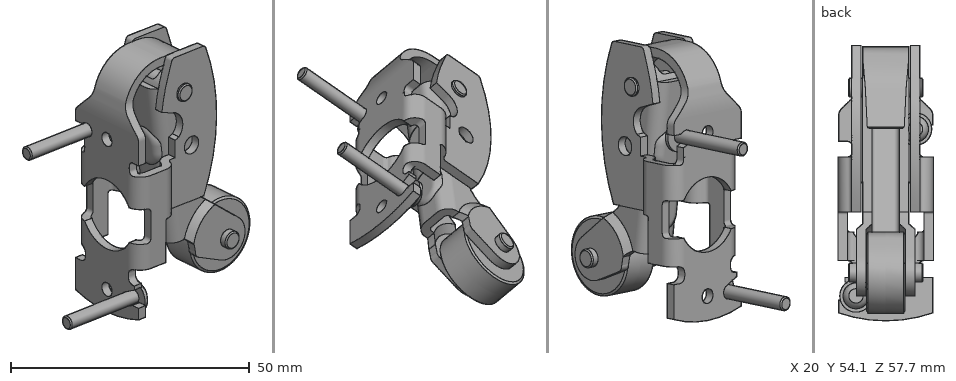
import cadquery as cq
import math

SHEET = 2.0
PIN_D = 4.0
PIN_HALF_LENGTH = 7.85
PIN_CHAMFER = 0.3

PLATE_HALF = 9.85
PLATE_EDGE_Z = 1.7
LOWER_SCREW_Z = 5.25
UPPER_SCREW_Z = 40.2
SCREW_X = 6.25
CENTRE_HOLE_D = 3.1
WINDOW_Z = (LOWER_SCREW_Z + UPPER_SCREW_Z) / 2
WINDOW_D = 16.05
SIDE_WINDOW_HALF = 4.05
SIDE_WINDOW_R = 1.0
SLOT_R = 1.55
SLOT_ANGLE = math.radians(27)
SLOT_LEDGE = 0.85
SLOT_RISE = 4.0
LOWER_SLOT_EDGE = 8.55

WALL_HALF = 20.0 / 2
WALL_FOOT_R = 3.35
WALL_TOP_R = 3.0
WALL_TOP_Y = 7.8
FLANGE_BLEND_R = 1.0
TAB_BOTTOM = 12.65
TAB_TOP = 34.35
FLANGE_BOTTOM = 22.8
LOWER_WALL_Y = 7.55
NECK_LOW = 9.1
NECK_HIGH = 37.6
BEND_LOW = (NECK_LOW + TAB_BOTTOM) / 2
BEND_HIGH = (TAB_TOP + NECK_HIGH) / 2
NECK_HALF_LOW = 6.7
NECK_HALF_HIGH = 7.05
NECK_LOW_R = 1.45
NECK_HIGH_R = 1.0
WALL_CORNER_R = 0.6

CHEEK_INNER = 5.15
CHEEK_OUTER = CHEEK_INNER + SHEET
CHEEK_START_Y = WALL_TOP_Y + math.sqrt(
    (WALL_TOP_R + FLANGE_BLEND_R) ** 2 - (CHEEK_OUTER + FLANGE_BLEND_R - WALL_HALF + WALL_TOP_R) ** 2
)
CHEEK_TOP = 57.7
CHEEK_HOLE_D = 4.05
CHEEK_HOLE = (17.45, 35.8)
CHEEK_CORNER_R = 1.0

STRIP_HALF = 4.85
STRIP_FOOT_Z = 43.0
STRIP_BEND_Z = 44.35
STRIP_LEAN_Z = 48.15
STRIP_ARCH_Z = 49.65
STRIP_TOP_Z = 57.45
STRIP_R = 10.1
STRIP_FLAT = 2.4
STRIP_LEAN = math.asin((STRIP_ARCH_Z - STRIP_TOP_Z + STRIP_R) / STRIP_R)
STRIP_FOOT_R = (STRIP_LEAN_Z - STRIP_BEND_Z) / math.sin(STRIP_LEAN)
STRIP_LEG = 8.1
STRIP_TIP_HALF = 3.85
TAPER_TOP_Z = 55.4
TAPER_MID_Z = 48.8
TAPER_MID_HALF = 4.3
TIP_CORNER_R = 0.6
SHOULDER_R = 2.0
FLARE_BLEND_R = 4.0
FLARE_TOP_Z = 50.45

PIVOT = (15.25, 48.85)
ROLLER = (28.5, 10.1)
LEVER_FOOT = (13.9, 12.5)
LEVER_TILT_DEG = 7.2
LEVER_TILT = math.radians(LEVER_TILT_DEG)
LEVER_LENGTH = 37.75
LEVER_HALF = 4.85
LEVER_BEND_R = 3.0
FORK_OUTER = 6.2
JOGGLE_IN_R = 9.7
JOGGLE_OUT_R = 11.4
ARM_END_R = 4.9
FORK_UPPER_ANGLE = math.radians(53.5)
FORK_LOWER_ANGLE = math.radians(-115.5)
DOME_HALF = 4.0
DOME_STRAIGHT = 2.0
DOME_HEIGHT = 0.6
DOME_ROUND = 1.85
DOME_SPOTS = (9.1, 22.85)
ROLLER_D = 17.0
ROLLER_HALF = 4.01
ROLLER_CHAMFER = 0.3
ROLLER_CHAMFER_DEPTH = 0.5

SHANK_D = 3.0
SHANK_END_Y = -17.1
SHANK_CHAMFER = 0.3
WASHER_D = 6.8
WASHER_T = 0.75
HEAD_BASE_R = 2.7
HEAD_FACE_R = 1.5
HEAD_MID_R = 2.35
HEAD_HEIGHT = 1.5
HEAD_MID_HEIGHT = 0.75


def box(x0, x1, y0, y1, z0, z1):
    return cq.Workplane("XY").box(x1 - x0, y1 - y0, z1 - z0, centered=False).translate((x0, y0, z0))


def polar(centre, radius, angle):
    return (centre[0] + radius * math.cos(angle), centre[1] + radius * math.sin(angle))


def cross_bar(diameter, half_length, chamfer_length, chamfer_depth, centre):
    """Cylinder along X, centred on X = 0, with a chamfer at each end."""
    radius = diameter / 2
    half = (
        cq.Workplane("XY")
        .lineTo(0, radius)
        .lineTo(half_length - chamfer_length, radius)
        .lineTo(half_length, radius - chamfer_depth)
        .lineTo(half_length, 0)
        .close()
        .revolve(360, (0, 0, 0), (1, 0, 0))
    )
    return half.union(half.mirror("YZ")).clean().translate((0, *centre))


def plate_blank():
    return (
        cq.Workplane("XZ")
        .moveTo(-PLATE_HALF, STRIP_FOOT_Z)
        .lineTo(-PLATE_HALF, PLATE_EDGE_Z)
        .threePointArc((0, 0), (PLATE_HALF, PLATE_EDGE_Z))
        .lineTo(PLATE_HALF, STRIP_FOOT_Z)
        .close()
        .extrude(-SHEET)
    )


def side_wall():
    """Right-hand wall: plate bend, wall and the double bend into the side plate, one sheet section."""
    foot_x = WALL_HALF - WALL_FOOT_R
    foot_inner_r = WALL_FOOT_R - SHEET
    top = (WALL_HALF - WALL_TOP_R, WALL_TOP_Y)
    top_inner_r = WALL_TOP_R - SHEET
    cheek_bend_r = FLANGE_BLEND_R + SHEET
    blend = (CHEEK_OUTER + FLANGE_BLEND_R, CHEEK_START_Y)
    meet_angle = math.atan2(blend[1] - top[1], blend[0] - top[0])
    outer_meet = polar(top, WALL_TOP_R, meet_angle)
    inner_meet = polar(top, top_inner_r, meet_angle)
    blend_mid_angle = math.pi + meet_angle / 2
    diagonal = math.pi / 4
    section = (
        cq.Workplane("XY", origin=(0, 0, BEND_LOW))
        .moveTo(foot_x, 0)
        .threePointArc(polar((foot_x, WALL_FOOT_R), WALL_FOOT_R, -diagonal), (WALL_HALF, WALL_FOOT_R))
        .lineTo(WALL_HALF, WALL_TOP_Y)
        .threePointArc(polar(top, WALL_TOP_R, meet_angle / 2), outer_meet)
        .threePointArc(polar(blend, FLANGE_BLEND_R, blend_mid_angle), (CHEEK_OUTER, CHEEK_START_Y))
        .lineTo(CHEEK_INNER, CHEEK_START_Y)
        .threePointArc(polar(blend, cheek_bend_r, blend_mid_angle), inner_meet)
        .threePointArc(polar(top, top_inner_r, meet_angle / 2), (top[0] + top_inner_r, WALL_TOP_Y))
        .lineTo(WALL_HALF - SHEET, WALL_FOOT_R)
        .threePointArc(polar((foot_x, WALL_FOOT_R), foot_inner_r, -diagonal), (foot_x, SHEET))
        .close()
        .extrude(BEND_HIGH - BEND_LOW)
    )
    beyond = 2 * PLATE_HALF
    below_flange = box(0, beyond, LOWER_WALL_Y, beyond, 0, FLANGE_BOTTOM)
    below_flange = below_flange.edges("|X and <Y and >Z").fillet(WALL_CORNER_R)
    below_tab = box(0, beyond, SHEET, beyond, 0, TAB_BOTTOM)
    above_tab = box(0, beyond, SHEET, beyond, TAB_TOP, CHEEK_TOP)
    return section.cut(below_flange).cut(below_tab).cut(above_tab)


def neck_notch(z0, z1, neck_half, corner_r):
    """Cutter for the right-hand notch that separates a wall tab from the plate end."""
    notch = box(neck_half, 2 * PLATE_HALF, -SHEET, 2 * PLATE_HALF, z0, z1)
    return notch.edges("|Y and <X").fillet(corner_r)


def screw_slot(edge_x):
    """Open slot for the lower screw, running up and out at the slot angle."""
    sin_a = math.sin(SLOT_ANGLE)
    cos_a = math.cos(SLOT_ANGLE)
    low = (SLOT_R * sin_a, -SLOT_R * cos_a)
    high = (-low[0], -low[1])
    ledge_x = low[0] + (-SLOT_LEDGE - low[1]) / math.tan(SLOT_ANGLE)
    edge = edge_x - SCREW_X
    edge_z = high[1] + (edge - high[0]) * math.tan(SLOT_ANGLE)
    outside = PLATE_HALF
    slot = (
        cq.Workplane("XZ")
        .moveTo(*high)
        .threePointArc((-SLOT_R * cos_a, -SLOT_R * sin_a), low)
        .lineTo(ledge_x, -SLOT_LEDGE)
        .lineTo(outside, -SLOT_LEDGE)
        .lineTo(outside, SLOT_RISE)
        .lineTo(edge, SLOT_RISE)
        .lineTo(edge, edge_z)
        .close()
        .extrude(-SHEET)
    )
    return slot.translate((SCREW_X, 0, LOWER_SCREW_Z))


def half_turn(shape):
    """Turn a shape half a turn about the axis through the centre of the plate window."""
    return shape.rotate((0, 0, WINDOW_Z), (0, 1, WINDOW_Z), 180)


def cheek():
    """Right-hand side plate, drawn in YZ."""
    outline = (
        cq.Workplane("YZ", origin=(CHEEK_INNER, 0, 0))
        .moveTo(CHEEK_START_Y, FLANGE_BOTTOM)
        .lineTo(20.9, FLANGE_BOTTOM)
        .threePointArc((24.55, (FLANGE_BOTTOM + CHEEK_TOP) / 2), (21.25, CHEEK_TOP))
        .lineTo(12.0, CHEEK_TOP)
        .lineTo(10.95, 54.5)
        .threePointArc((9.75, 50.15), (9.05, 46.05))
        .lineTo(12.6, 44.85)
        .threePointArc((14.95, 41.55), (13.85, 38.85))
        .lineTo(12.8, 38.4)
        .lineTo(12.8, TAB_TOP)
        .lineTo(CHEEK_START_Y, TAB_TOP)
        .close()
        .extrude(SHEET)
    )
    outline = outline.edges("|X and (>Z or (<Z and >Y))").fillet(CHEEK_CORNER_R)
    hole = cq.Workplane("YZ").center(*CHEEK_HOLE).circle(CHEEK_HOLE_D / 2).extrude(PLATE_HALF)
    pivot_hole = cq.Workplane("YZ").center(*PIVOT).circle(PIN_D / 2).extrude(PLATE_HALF)
    return outline.cut(hole).cut(pivot_hole)


def strip():
    """Guard strip that rises from the plate, bends over the lever and drops behind it."""
    inner_r = STRIP_R - SHEET
    lean_cos = math.cos(STRIP_LEAN)
    foot_inner_r = STRIP_FOOT_R - SHEET
    bend_z = STRIP_TOP_Z - STRIP_R
    foot_centre = (STRIP_FOOT_R, STRIP_BEND_Z)
    lean_start = polar(foot_centre, STRIP_FOOT_R, math.pi - STRIP_LEAN)
    arch_start_y = lean_start[0] + (STRIP_ARCH_Z - lean_start[1]) * math.tan(STRIP_LEAN)
    front = (arch_start_y + STRIP_R * lean_cos, bend_z)
    rear = (front[0] + STRIP_FLAT, bend_z)
    front_mid = (math.pi - STRIP_LEAN + math.pi / 2) / 2
    rear_mid = (math.pi / 2 + LEVER_TILT) / 2
    leg = (STRIP_LEG * math.sin(LEVER_TILT), -STRIP_LEG * math.cos(LEVER_TILT))
    outer_end = polar(rear, STRIP_R, LEVER_TILT)
    inner_end = polar(rear, inner_r, LEVER_TILT)
    foot_mid = math.pi - STRIP_LEAN / 2
    profile = (
        cq.Workplane("YZ")
        .moveTo(0, STRIP_FOOT_Z)
        .lineTo(0, STRIP_BEND_Z)
        .threePointArc(polar(foot_centre, STRIP_FOOT_R, foot_mid), lean_start)
        .lineTo(arch_start_y, STRIP_ARCH_Z)
        .threePointArc(polar(front, STRIP_R, front_mid), (front[0], STRIP_TOP_Z))
        .lineTo(rear[0], STRIP_TOP_Z)
        .threePointArc(polar(rear, STRIP_R, rear_mid), outer_end)
        .lineTo(outer_end[0] + leg[0], outer_end[1] + leg[1])
        .lineTo(inner_end[0] + leg[0], inner_end[1] + leg[1])
        .lineTo(*inner_end)
        .threePointArc(polar(rear, inner_r, rear_mid), (rear[0], STRIP_TOP_Z - SHEET))
        .lineTo(front[0], STRIP_TOP_Z - SHEET)
        .threePointArc(polar(front, inner_r, front_mid), polar(front, inner_r, math.pi - STRIP_LEAN))
        .lineTo(*polar(foot_centre, foot_inner_r, math.pi - STRIP_LEAN))
        .threePointArc(polar(foot_centre, foot_inner_r, foot_mid), (SHEET, STRIP_BEND_Z))
        .lineTo(SHEET, STRIP_FOOT_Z)
        .close()
        .extrude(PLATE_HALF, both=True)
    )
    split_y = rear[0]
    tip_z = inner_end[1] + leg[1]
    return profile.intersect(strip_front_mask(split_y).union(strip_rear_mask(split_y, tip_z)))


def strip_front_mask(back_y):
    """Block with the strip's front outline: rounded shoulders, 45 degree flares, straight sides."""
    diagonal = math.pi / 4
    shoulder = (PLATE_HALF - SHOULDER_R, STRIP_FOOT_Z)
    shoulder_end = polar(shoulder, SHOULDER_R, diagonal)
    blend = (STRIP_HALF + FLARE_BLEND_R, FLARE_TOP_Z)
    blend_start = polar(blend, FLARE_BLEND_R, math.pi + diagonal)
    half = (
        cq.Workplane("XZ")
        .moveTo(0, STRIP_FOOT_Z)
        .lineTo(PLATE_HALF, STRIP_FOOT_Z)
        .threePointArc(polar(shoulder, SHOULDER_R, diagonal / 2), shoulder_end)
        .lineTo(*blend_start)
        .threePointArc(polar(blend, FLARE_BLEND_R, math.pi + diagonal / 2), (STRIP_HALF, FLARE_TOP_Z))
        .lineTo(STRIP_HALF, STRIP_TOP_Z)
        .lineTo(0, STRIP_TOP_Z)
        .close()
        .extrude(-back_y)
    )
    return half.union(half.mirror("YZ"))


def strip_rear_mask(front_y, tip_z):
    """Block with the outline of the rear leg, which narrows towards its rounded tip."""
    half = (
        cq.Workplane("XZ", origin=(0, front_y, 0))
        .moveTo(0, tip_z)
        .lineTo(STRIP_TIP_HALF, tip_z)
        .lineTo(TAPER_MID_HALF, TAPER_MID_Z)
        .lineTo(STRIP_HALF, TAPER_TOP_Z)
        .lineTo(STRIP_HALF, STRIP_TOP_Z)
        .lineTo(0, STRIP_TOP_Z)
        .close()
        .extrude(-2 * STRIP_R)
        .edges("|Y")
        .edges("<Z")
        .edges(">X")
        .fillet(TIP_CORNER_R)
    )
    return half.union(half.mirror("YZ"))


def make_bracket():
    wall = side_wall()
    lower_notch = neck_notch(NECK_LOW, TAB_BOTTOM, NECK_HALF_LOW, NECK_LOW_R)
    upper_notch = neck_notch(TAB_TOP, NECK_HIGH, NECK_HALF_HIGH, NECK_HIGH_R)
    bend_gap = box(WALL_HALF - WALL_FOOT_R, 2 * PLATE_HALF, 0, SHEET, BEND_LOW, BEND_HIGH)
    body = plate_blank()
    for gap in (bend_gap, bend_gap.mirror("YZ")):
        body = body.cut(gap)
    for side in (wall, wall.mirror("YZ")):
        body = body.union(side)
    for notch in (lower_notch, upper_notch):
        body = body.cut(notch).cut(notch.mirror("YZ"))
    body = body.cut(screw_slot(LOWER_SLOT_EDGE)).cut(half_turn(screw_slot(NECK_HALF_HIGH)))
    window = cq.Workplane("XZ", origin=(0, 0, WINDOW_Z)).circle(WINDOW_D / 2).extrude(-SHEET)
    side_window = box(-PLATE_HALF * 2, PLATE_HALF * 2, -SHEET, WALL_FOOT_R,
                      WINDOW_Z - SIDE_WINDOW_HALF, WINDOW_Z + SIDE_WINDOW_HALF)
    side_window = side_window.edges("|X and >Y").fillet(SIDE_WINDOW_R)
    body = body.cut(window).cut(side_window)
    for z in (LOWER_SCREW_Z, UPPER_SCREW_Z):
        body = body.cut(cq.Workplane("XZ", origin=(0, 0, z)).circle(CENTRE_HOLE_D / 2).extrude(-SHEET))
    right_cheek = cheek()
    return body.union(right_cheek).union(right_cheek.mirror("YZ")).union(strip())


def web_point(along, depth):
    """Y, Z of a point given along the web from its foot and in depth from its outer face."""
    sin_t = math.sin(LEVER_TILT)
    cos_t = math.cos(LEVER_TILT)
    return (LEVER_FOOT[0] - along * sin_t + depth * cos_t, LEVER_FOOT[1] + along * cos_t + depth * sin_t)


def in_lever_frame(shape):
    """Move a shape built upright at the origin, with its outer face at Y = 0, onto the tilted web."""
    return shape.rotate((0, 0, 0), (1, 0, 0), LEVER_TILT_DEG).translate((0, *LEVER_FOOT))


def bend_zone():
    """Block that holds the web and its two bends."""
    return box(-PLATE_HALF, PLATE_HALF, 0, LEVER_BEND_R, 0, LEVER_LENGTH + ARM_END_R)


def web_channel():
    """Web and its two rounded bends, before the tilt."""
    inner_half = LEVER_HALF - SHEET
    depth = 2 * LEVER_BEND_R
    height = LEVER_LENGTH + ARM_END_R
    block = box(-LEVER_HALF, LEVER_HALF, 0, depth, 0, height)
    block = block.edges("|Z and <Y").fillet(LEVER_BEND_R)
    hollow = box(-inner_half, inner_half, SHEET, depth, 0, height)
    hollow = hollow.edges("|Z and <Y").fillet(LEVER_BEND_R - SHEET)
    return block.cut(hollow).intersect(bend_zone())


def dome():
    """Rounded oval boss standing on the web's outer face."""
    root = SHEET - DOME_HEIGHT
    length = DOME_STRAIGHT + 2 * DOME_HALF
    oval = cq.Workplane("XZ", origin=(0, root, 0)).slot2D(length, 2 * DOME_HALF, 90)
    return oval.extrude(root + DOME_HEIGHT).faces("<Y").edges().fillet(DOME_ROUND)


def joggled_sheet():
    """Right-hand arm sheet: a disc round the roller axle, stepping inward to the channel arms."""
    far = 2 * LEVER_LENGTH
    fork_inner = FORK_OUTER - SHEET
    arm_inner = LEVER_HALF - SHEET
    section = [(0, fork_inner), (JOGGLE_IN_R, fork_inner), (JOGGLE_OUT_R, arm_inner), (far, arm_inner),
               (far, LEVER_HALF), (JOGGLE_OUT_R, LEVER_HALF), (JOGGLE_IN_R, FORK_OUTER), (0, FORK_OUTER)]
    points = [(x, r) for r, x in section]
    sheet = cq.Workplane("XY").polyline(points).close().revolve(360, (0, 0, 0), (1, 0, 0))
    return sheet.translate((0, *ROLLER))


def lever_outline():
    """Block whose YZ outline is that of the whole lever."""
    pivot_y = PIVOT[0] - LEVER_FOOT[0]
    pivot_z = PIVOT[1] - LEVER_FOOT[1]
    pivot_along = pivot_z * math.cos(LEVER_TILT) - pivot_y * math.sin(LEVER_TILT)
    top_angle = math.pi - math.asin((LEVER_LENGTH - pivot_along) / ARM_END_R) + LEVER_TILT
    return (
        cq.Workplane("YZ")
        .moveTo(*web_point(0, 0))
        .lineTo(*web_point(LEVER_LENGTH, 0))
        .lineTo(*polar(PIVOT, ARM_END_R, top_angle))
        .threePointArc(polar(PIVOT, ARM_END_R, top_angle / 2), polar(PIVOT, ARM_END_R, 0))
        .lineTo(20.9, FLANGE_BOTTOM)
        .lineTo(22.05, 21.5)
        .lineTo(*polar(ROLLER, ARM_END_R, FORK_UPPER_ANGLE))
        .threePointArc(polar(ROLLER, ARM_END_R, 0), polar(ROLLER, ARM_END_R, FORK_LOWER_ANGLE))
        .lineTo(20.3, 8.3)
        .threePointArc((19.6, 8.9), (19.45, 9.7))
        .lineTo(19.05, 11.65)
        .threePointArc((18.4, 12.35), (17.5, 12.95))
        .lineTo(*web_point(0, LEVER_BEND_R))
        .close()
        .extrude(PLATE_HALF, both=True)
    )


def make_lever():
    """Channel lever with its pivot pin, roller axle and roller."""
    outline = lever_outline()
    body = in_lever_frame(web_channel()).intersect(outline)
    right_arm = joggled_sheet().intersect(outline).cut(in_lever_frame(bend_zone()))
    for arm in (right_arm, right_arm.mirror("YZ")):
        body = body.union(arm)
    for spot in DOME_SPOTS:
        body = body.union(in_lever_frame(dome().translate((0, 0, spot))))
    for centre in (PIVOT, ROLLER):
        body = body.union(cross_bar(PIN_D, PIN_HALF_LENGTH, PIN_CHAMFER, PIN_CHAMFER, centre))
    return body.union(cross_bar(ROLLER_D, ROLLER_HALF, ROLLER_CHAMFER, ROLLER_CHAMFER_DEPTH, ROLLER))


def make_screw(x, z):
    """Pan-head screw with washer, seated on the plate's inner face and pointing to -Y."""
    washer_top = SHEET + WASHER_T
    shank_r = SHANK_D / 2
    return (
        cq.Workplane("XY")
        .moveTo(0, SHANK_END_Y)
        .lineTo(shank_r - SHANK_CHAMFER, SHANK_END_Y)
        .lineTo(shank_r, SHANK_END_Y + SHANK_CHAMFER)
        .lineTo(shank_r, SHEET)
        .lineTo(WASHER_D / 2, SHEET)
        .lineTo(WASHER_D / 2, washer_top)
        .lineTo(HEAD_BASE_R, washer_top)
        .threePointArc((HEAD_MID_R, washer_top + HEAD_MID_HEIGHT), (HEAD_FACE_R, washer_top + HEAD_HEIGHT))
        .lineTo(0, washer_top + HEAD_HEIGHT)
        .close()
        .revolve(360, (0, 0, 0), (0, 1, 0))
        .translate((x, 0, z))
    )


bracket = make_bracket()
lever = make_lever()
screws = [make_screw(x, z).val() for x, z in ((SCREW_X, LOWER_SCREW_Z), (-SCREW_X, UPPER_SCREW_Z))]

result = cq.Compound.makeCompound([bracket.val(), lever.val(), *screws])